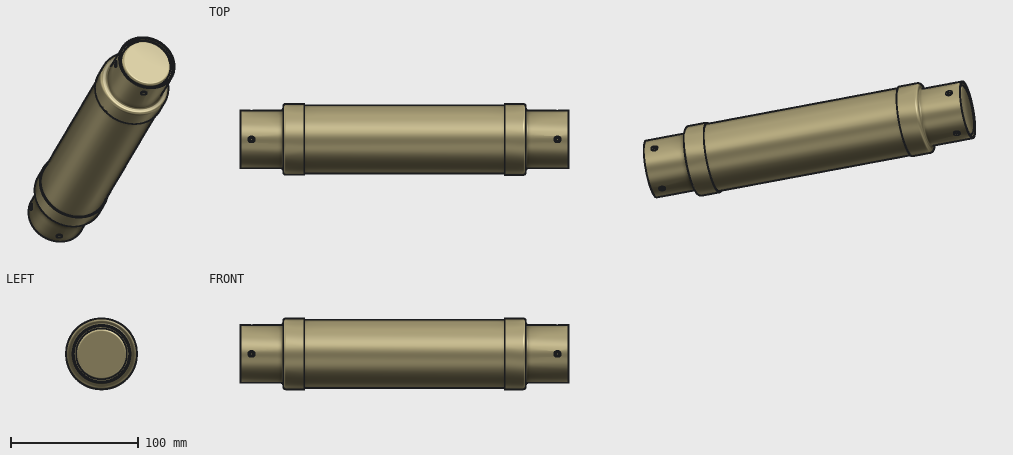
import cadquery as cq

overall_length = 258.0
cap_length = 50.3

barrel_diameter = 54.0
barrel_length = overall_length - 2 * cap_length

flange_diameter = 56.0
neck_diameter = 45.7
neck_length = 33.5
flange_rounding = 2.3
neck_fillet = 1.5
bore_diameter = 43.3

hole_count = 4
hole_diameter = 2.5
countersink_diameter = 5.2
countersink_depth = 1.0
hole_to_neck_end = 8.8

plug_nose_diameter = 40.0
plug_nose_length = 3.0
plug_rounding = 2.0


def x_cylinder(diameter, length, x_start):
    """Cylinder about the X axis, from x_start toward +X."""
    return cq.Workplane("YZ").workplane(offset=x_start).circle(diameter / 2).extrude(length)


def make_barrel():
    return x_cylinder(barrel_diameter, barrel_length, -barrel_length / 2)


def make_hole_cutter():
    """Countersunk hole along Z, cutting from the top of the neck down into the bore."""
    neck_radius = neck_diameter / 2
    hole_radius = hole_diameter / 2
    countersink_radius = countersink_diameter / 2
    hole_bottom = bore_diameter / 4
    cutter_top = flange_diameter / 2
    cone_bottom = neck_radius - countersink_depth
    return (
        cq.Workplane("XZ")
        .moveTo(0, hole_bottom)
        .lineTo(hole_radius, hole_bottom)
        .lineTo(hole_radius, cone_bottom)
        .lineTo(countersink_radius, neck_radius)
        .lineTo(countersink_radius, cutter_top)
        .lineTo(0, cutter_top)
        .close()
        .revolve(360, (0, 0, 0), (0, 1, 0))
    )


def make_left_cap():
    neck_end = -overall_length / 2
    flange_face = neck_end + neck_length
    flange_back = neck_end + cap_length
    bore_radius = bore_diameter / 2
    neck_radius = neck_diameter / 2
    flange_radius = flange_diameter / 2

    cap = (
        cq.Workplane("XY")
        .moveTo(neck_end, bore_radius)
        .lineTo(neck_end, neck_radius)
        .lineTo(flange_face - neck_fillet, neck_radius)
        .radiusArc((flange_face, neck_radius + neck_fillet), -neck_fillet)
        .lineTo(flange_face, flange_radius - flange_rounding)
        .radiusArc((flange_face + flange_rounding, flange_radius), flange_rounding)
        .lineTo(flange_back, flange_radius)
        .lineTo(flange_back, bore_radius)
        .close()
        .revolve(360, (0, 0, 0), (1, 0, 0))
    )

    cutter = make_hole_cutter().translate((neck_end + hole_to_neck_end, 0, 0))
    for index in range(hole_count):
        angle = index * 360 / hole_count
        cap = cap.cut(cutter.rotate((0, 0, 0), (1, 0, 0), angle))
    return cap


def make_left_plug():
    plug_end = -overall_length / 2
    nose = x_cylinder(plug_nose_diameter, plug_nose_length, plug_end)
    nose = nose.faces("<X").edges().fillet(plug_rounding)
    shank = x_cylinder(bore_diameter, cap_length - plug_nose_length, plug_end + plug_nose_length)
    return nose.union(shank)


barrel = make_barrel()

caps = []
plugs = []
for turn in (0, 180):
    caps.append(make_left_cap().rotate((0, 0, 0), (0, 0, 1), turn))
    plugs.append(make_left_plug().rotate((0, 0, 0), (0, 0, 1), turn))

result = cq.Compound.makeCompound([barrel.val()] + [body.val() for body in caps + plugs])